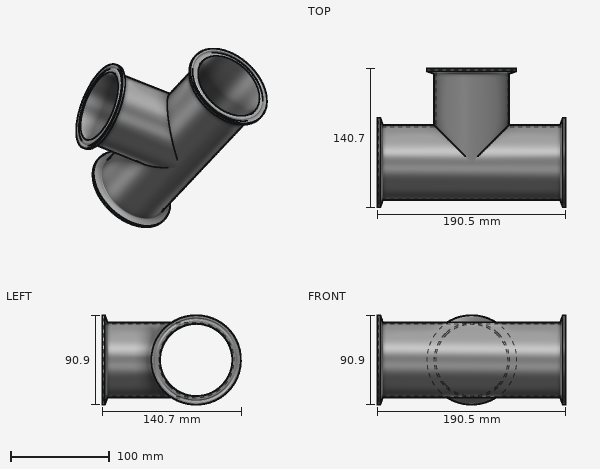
import cadquery as cq
import math


run_length = 190.5
flange_diameter = 90.9
tube_diameter = 76.2
bore_diameter = 73.0

rim_thickness = 2.9
cone_angle = math.radians(20)
blend_radius = 1.1

groove_diameter = 83.0
groove_width = 3.5
groove_floor_radius = 1.1
groove_lip_radius = 0.8

flange_radius = flange_diameter / 2
tube_radius = tube_diameter / 2
groove_radius = groove_diameter / 2
half_run = run_length / 2
branch_length = half_run

legs = [
    ((-1, 0, 0), half_run),
    ((1, 0, 0), half_run),
    ((0, 1, 0), branch_length),
]


def leg_plane(direction):
    """Plane holding a leg's half profile: local x is the radius, local y runs along the leg."""
    axis = cq.Vector(*direction)
    radial = cq.Vector(0, 0, 1)
    return cq.Plane(origin=(0, 0, 0), xDir=radial, normal=radial.cross(axis))


def revolve_about_leg(profile):
    """Turn a closed half profile about the leg axis."""
    return profile.revolve(360, (0, 0, 0), (0, 1, 0))


def leg_body(direction, length):
    """Solid tube with its clamp flange, the tube blended into the flange cone."""
    rim_back = length - rim_thickness
    cone_root = rim_back - (flange_radius - tube_radius) * math.tan(cone_angle)

    tangent_length = blend_radius * math.tan((math.pi / 2 - cone_angle) / 2)
    blend_on_cone = (
        tube_radius + tangent_length * math.cos(cone_angle),
        cone_root + tangent_length * math.sin(cone_angle),
    )
    profile = (
        cq.Workplane(leg_plane(direction))
        .lineTo(tube_radius, 0)
        .lineTo(tube_radius, cone_root - tangent_length)
        .tangentArcPoint(blend_on_cone, relative=False)
        .lineTo(flange_radius, rim_back)
        .lineTo(flange_radius, length)
        .lineTo(0, length)
        .close()
    )
    return revolve_about_leg(profile)


def leg_bore(direction, length):
    """Straight bore from the tee centre out through the flange face."""
    profile = cq.Workplane(leg_plane(direction)).rect(bore_diameter / 2, length, centered=False)
    return revolve_about_leg(profile)


def gasket_groove(direction, length):
    """Ring to cut from the flange face, its lips and floor joined tangentially."""
    half_width = groove_width / 2
    centre_distance = groove_floor_radius + groove_lip_radius
    rise = math.sqrt(centre_distance**2 - half_width**2)
    floor_centre = length - groove_lip_radius + rise
    floor_share = groove_floor_radius / centre_distance
    joint_offset = half_width * floor_share
    joint_height = floor_centre - rise * floor_share
    inner_lip = groove_radius - half_width
    outer_lip = groove_radius + half_width
    profile = (
        cq.Workplane(leg_plane(direction))
        .moveTo(outer_lip, length)
        .radiusArc((groove_radius + joint_offset, joint_height), -groove_lip_radius)
        .threePointArc(
            (groove_radius, floor_centre - groove_floor_radius),
            (groove_radius - joint_offset, joint_height),
        )
        .radiusArc((inner_lip, length), -groove_lip_radius)
        .close()
    )
    return revolve_about_leg(profile)


def join(solids):
    """Union of a list of solids."""
    joined = solids[0]
    for solid in solids[1:]:
        joined = joined.union(solid)
    return joined


bodies = [leg_body(direction, length) for direction, length in legs]
bores = [leg_bore(direction, length) for direction, length in legs]
grooves = [gasket_groove(direction, length) for direction, length in legs]

result = join(bodies).cut(join(bores))
for groove in grooves:
    result = result.cut(groove)